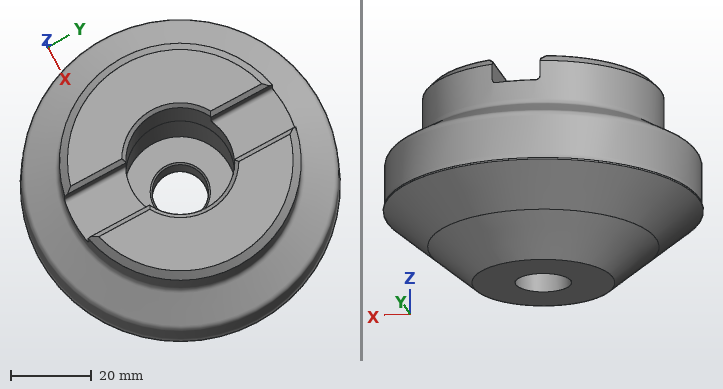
import cadquery as cq
import math

total_height = 50.0
lip_radius = 39.7
band_radius = 39.4
neck_radius = 29.99
nose_radius = 17.7

split_height = 9.4
lip_bottom = 18.75
lip_top = 19.15
flare_height = 1.2
band_corner_height = 31.5
shoulder_angle = math.radians(30)
shoulder_fillet = 2.0
neck_chamfer = 2.0

bore_radius = 13.5
bore_chamfer = 1.0
lower_bore_radius = 14.0
lower_bore_top = 31.9
hole_radius = 7.0
hole_chamfer = 0.5

slot_width = 12.15
slot_depth = 7.0
slot_floor_fillet = 1.0
slot_chamfer = 1.2

neck_corner_height = band_corner_height + (band_radius - neck_radius) * math.tan(shoulder_angle)
cone_slope = (lip_radius - nose_radius) / lip_bottom
split_radius = nose_radius + split_height * cone_slope

tangent_length = shoulder_fillet * math.tan((math.pi / 2 - shoulder_angle) / 2)
tangent_run = tangent_length * math.cos(shoulder_angle)
tangent_rise = tangent_length * math.sin(shoulder_angle)

flare_run = lip_radius - band_radius
flare_radius = (flare_height**2 + flare_run**2) / (2 * flare_run)


def revolve_about_z(profile):
    """Revolve a closed profile, drawn as (radius, height), about the Z axis."""
    return profile.close().revolve(360, (0, 0, 0), (0, 1, 0))


def make_housing_blank():
    """Turned housing: upper cone, lip, band, sloping shoulder and neck, with its stepped bore."""
    profile = (
        cq.Workplane("XZ")
        .moveTo(lower_bore_radius, split_height)
        .lineTo(split_radius, split_height)
        .lineTo(lip_radius, lip_bottom)
        .lineTo(lip_radius, lip_top)
        .radiusArc((band_radius, lip_top + flare_height), flare_radius)
        .lineTo(band_radius, band_corner_height - tangent_length)
        .radiusArc((band_radius - tangent_run, band_corner_height + tangent_rise), -shoulder_fillet)
        .lineTo(neck_radius + tangent_run, neck_corner_height - tangent_rise)
        .radiusArc((neck_radius, neck_corner_height + tangent_length), shoulder_fillet)
        .lineTo(neck_radius, total_height - neck_chamfer)
        .lineTo(neck_radius - neck_chamfer, total_height)
        .lineTo(bore_radius + bore_chamfer, total_height)
        .lineTo(bore_radius, total_height - bore_chamfer)
        .lineTo(bore_radius, lower_bore_top)
        .lineTo(lower_bore_radius, lower_bore_top)
    )
    return revolve_about_z(profile)


def make_slot_cutter():
    """Slot along Y with rounded floor corners and chamfered top edges."""
    half_width = slot_width / 2
    floor_height = total_height - slot_depth
    floor_half = half_width - slot_floor_fillet
    fillet_top = floor_height + slot_floor_fillet
    return (
        cq.Workplane("XZ")
        .moveTo(-floor_half, floor_height)
        .lineTo(floor_half, floor_height)
        .radiusArc((half_width, fillet_top), -slot_floor_fillet)
        .lineTo(half_width, total_height - slot_chamfer)
        .lineTo(half_width + slot_chamfer, total_height)
        .lineTo(-half_width - slot_chamfer, total_height)
        .lineTo(-half_width, total_height - slot_chamfer)
        .lineTo(-half_width, fillet_top)
        .radiusArc((-floor_half, floor_height), -slot_floor_fillet)
        .close()
        .extrude(lip_radius, both=True)
    )


def make_nose():
    """Lower cone with a through hole chamfered at its upper end."""
    profile = (
        cq.Workplane("XZ")
        .moveTo(hole_radius, 0)
        .lineTo(nose_radius, 0)
        .lineTo(split_radius, split_height)
        .lineTo(hole_radius + hole_chamfer, split_height)
        .lineTo(hole_radius, split_height - hole_chamfer)
    )
    return revolve_about_z(profile)


housing = make_housing_blank().cut(make_slot_cutter())
nose = make_nose()

result = cq.Compound.makeCompound([*housing.solids().vals(), nose.val()])